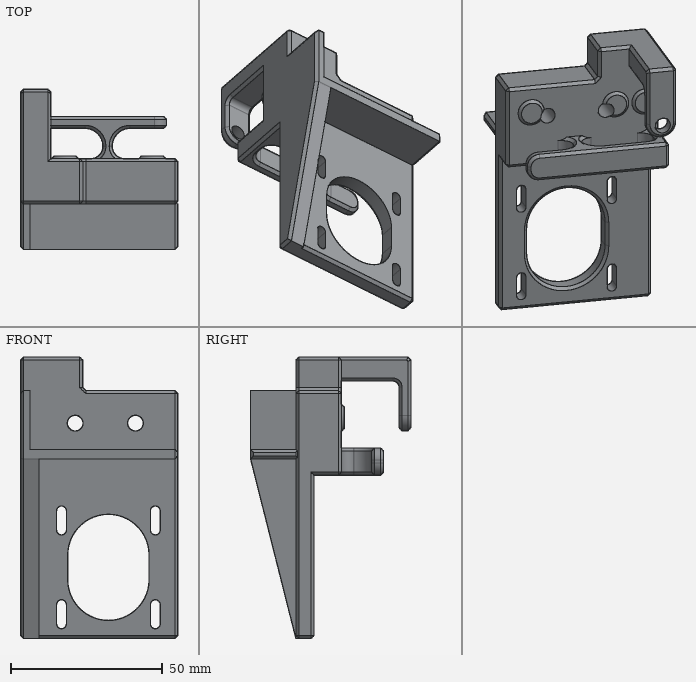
import cadquery as cq

WIDTH = 52.0
DEPTH = 53.0
HEIGHT = 93.0
EDGE = 1.0

PLATE_FRONT = 15.0
PLATE_BACK = 21.0
BLOCK_BACK = 30.0
BLOCK_BOTTOM = 53.9
STEP_X = 20.55
STEP_Z = 81.9

WALL = 3.2
SHELF_BOTTOM = 59.3
SHELF_TOP = SHELF_BOTTOM + WALL
RIB_WIDTH = 6.0

ARM_WIDTH = 10.0
ARM_BOTTOM = 85.0
TAB_FRONT = 49.0
TAB_BOTTOM = 68.6
TAB_CORNER = 1.95
FULL_ROUND_GAP = 0.01

PLATFORM_TOP = 63.0
PLATFORM_BACK = 44.0
PLATFORM_RIGHT = 48.3
BAR_THICKNESS = 4.0
BAR_FRONT = PLATFORM_BACK - BAR_THICKNESS
BAR_END_RADIUS = 4.0
WEB_X = 28.7
WEB_THICKNESS = WALL
WEB_LEFT = WEB_X - WEB_THICKNESS / 2
WEB_RIGHT = WEB_X + WEB_THICKNESS / 2
SLOT_RADIUS = 4.0
WEB_REAR_RADIUS = 5.9

BOLT_DIAMETER = 5.1
BOLT_XS = (18.0, 37.9)
BOLT_Z = 71.1
TAB_HOLE_X = 4.65
PAD_XS = (TAB_HOLE_X, 14.7, 43.5)
PAD_Z = 72.9
PAD_RADIUS = 4.5
PAD_HEIGHT = 0.9

MOTOR_X = 29.0
MOTOR_Z = 23.5
OPENING_WIDTH = 26.8
OPENING_HEIGHT = 35.0
MOUNT_SPACING = 31.0
MOUNT_WIDTH = 3.2
MOUNT_HEIGHT = 9.5
UPRIGHT = 90
RIM_ANGLE = 45


def box(x_limits, y_limits, z_limits):
    """Box given by its lower and upper limits along each axis."""
    (x0, x1), (y0, y1), (z0, z1) = x_limits, y_limits, z_limits
    return cq.Workplane("XY").box(x1 - x0, y1 - y0, z1 - z0, centered=False).translate((x0, y0, z0))


def edge_near(point):
    """Selector for edges centred on the given (Y, Z) point, at any X."""
    y, z = point
    reach = EDGE / 2
    return cq.selectors.BoxSelector((0, y - reach, z - reach), (WIDTH, y + reach, z + reach))


def facing_back(y, points):
    """Sketch plane at depth y whose extrusions run towards +Y, with the (X, Z) points on it."""
    plane = cq.Plane(origin=(0, y, 0), xDir=(-1, 0, 0), normal=(0, 1, 0))
    return cq.Workplane(plane).pushPoints([(-x, z) for x, z in points])


def make_hook():
    """Arm running back from the block, with a round-ended tab hanging from its rear end."""
    arm = box((0, ARM_WIDTH), (PLATE_BACK, DEPTH), (ARM_BOTTOM, HEIGHT))
    tab = box((0, ARM_WIDTH), (TAB_FRONT, DEPTH), (TAB_BOTTOM, HEIGHT))
    hook = arm.union(tab).clean()
    hook = hook.faces("<Z").edges("|Y").fillet(ARM_WIDTH / 2 - FULL_ROUND_GAP)
    hook = hook.edges("|X").edges(edge_near((TAB_FRONT, ARM_BOTTOM))).fillet(TAB_CORNER)
    return hook.edges("|X").edges(edge_near((DEPTH, HEIGHT))).chamfer(EDGE)


def make_side_frame():
    """Left wall of rib, guard and block joined to the hook, with both outer sides chamfered."""
    outline = [
        (PLATE_FRONT, 0),
        (0, SHELF_BOTTOM),
        (0, STEP_Z),
        (PLATE_FRONT, STEP_Z),
        (PLATE_FRONT, HEIGHT - EDGE),
        (PLATE_FRONT + EDGE, HEIGHT),
        (BLOCK_BACK, HEIGHT),
        (BLOCK_BACK, BLOCK_BOTTOM),
        (PLATE_BACK, BLOCK_BOTTOM),
        (PLATE_BACK, EDGE),
        (PLATE_BACK - EDGE, 0),
    ]
    wall = cq.Workplane("YZ").polyline(outline).close().extrude(WALL)
    frame = wall.union(make_hook()).clean()
    return frame.faces("<X or >X").edges().chamfer(EDGE)


def make_block():
    """Motor plate with the stepped block above it, all edges chamfered but the one under the block."""
    lower = box((0, WIDTH), (PLATE_FRONT, BLOCK_BACK), (0, STEP_Z))
    upper = box((0, STEP_X), (PLATE_FRONT, BLOCK_BACK), (0, HEIGHT))
    behind_plate = box((0, WIDTH), (PLATE_BACK, BLOCK_BACK), (0, BLOCK_BOTTOM))
    block = lower.union(upper).cut(behind_plate).clean()
    under_block = edge_near((PLATE_BACK, BLOCK_BOTTOM))
    return block.edges(cq.selectors.InverseSelector(under_block)).chamfer(EDGE)


def make_shelf():
    """Flat shelf in front of the block, chamfered around its free right end."""
    shelf = box((EDGE, WIDTH), (0, PLATE_FRONT + EDGE), (SHELF_BOTTOM, SHELF_TOP))
    return shelf.faces(">X").edges().chamfer(EDGE)


def make_rib():
    """Tapering rib under the shelf, widening the left wall."""
    outline = [
        (PLATE_FRONT, 0),
        (0, SHELF_BOTTOM),
        (PLATE_BACK - EDGE, SHELF_BOTTOM),
        (PLATE_BACK - EDGE, 0),
    ]
    rib = cq.Workplane("YZ", origin=(EDGE, 0, 0)).polyline(outline).close()
    return rib.extrude(RIB_WIDTH - EDGE)


def make_slot(left, right):
    """Square-cornered slot between the block and the bar, through the platform's height."""
    return box((left, right), (BLOCK_BACK, BAR_FRONT), (BLOCK_BOTTOM, PLATFORM_TOP))


def round_at_web(slot, web_side):
    """Round the two slot corners that lie against the web."""
    slot = slot.edges(f"|Z and {web_side} and >Y").fillet(WEB_REAR_RADIUS)
    return slot.edges(f"|Z and {web_side} and <Y").fillet(SLOT_RADIUS)


def make_platform():
    """Rear platform: a bar on a central web, with a closed slot left of the web and an open one right."""
    platform = box((0, PLATFORM_RIGHT), (PLATE_BACK + EDGE, PLATFORM_BACK), (BLOCK_BOTTOM, PLATFORM_TOP))
    closed_slot = round_at_web(make_slot(WALL, WEB_LEFT), ">X")
    closed_slot = closed_slot.edges("|Z and <X").fillet(SLOT_RADIUS)
    open_slot = round_at_web(make_slot(WEB_RIGHT, WIDTH), "<X")
    platform = platform.cut(closed_slot).cut(open_slot)
    bar_end = platform.edges("|Y and >X").edges(">Y")
    platform = bar_end.fillet(BAR_END_RADIUS)
    return platform.faces("<X or <Z or >Z").edges().chamfer(EDGE)


def make_pads():
    """Round pads on the block's back face, bevelled over their full height."""
    pads = facing_back(BLOCK_BACK - EDGE, [(x, PAD_Z) for x in PAD_XS]).circle(PAD_RADIUS)
    return pads.extrude(EDGE + PAD_HEIGHT, combine=False).faces(">Y").edges().chamfer(PAD_HEIGHT)


def make_bolt_holes():
    """Two bolt holes through the block and one through the tab."""
    radius = BOLT_DIAMETER / 2
    block_holes = facing_back(0, [(x, BOLT_Z) for x in BOLT_XS]).circle(radius)
    tab_hole = facing_back(TAB_FRONT, [(TAB_HOLE_X, PAD_Z)]).circle(radius)
    return block_holes.extrude(BLOCK_BACK + PAD_HEIGHT).union(tab_hole.extrude(DEPTH - TAB_FRONT))


def make_motor_cutout():
    """Tall motor opening with a chamfered rear rim, and four upright mounting slots around it."""
    centre = [(MOTOR_X, MOTOR_Z)]
    opening = facing_back(0, centre).slot2D(OPENING_HEIGHT, OPENING_WIDTH, UPRIGHT)
    rim = facing_back(PLATE_BACK, centre)
    rim = rim.slot2D(OPENING_HEIGHT + 2 * EDGE, OPENING_WIDTH + 2 * EDGE, UPRIGHT)
    half = MOUNT_SPACING / 2
    corners = [(MOTOR_X + dx, MOTOR_Z + dz) for dx in (-half, half) for dz in (-half, half)]
    mounts = facing_back(0, corners).slot2D(MOUNT_HEIGHT, MOUNT_WIDTH, UPRIGHT)
    cutout = opening.extrude(PLATE_BACK).union(mounts.extrude(PLATE_BACK))
    return cutout.union(rim.extrude(-EDGE, taper=RIM_ANGLE))


result = make_side_frame()
for piece in (make_block(), make_shelf(), make_rib(), make_platform(), make_pads()):
    result = result.union(piece)
result = result.cut(make_bolt_holes()).cut(make_motor_cutout()).clean()